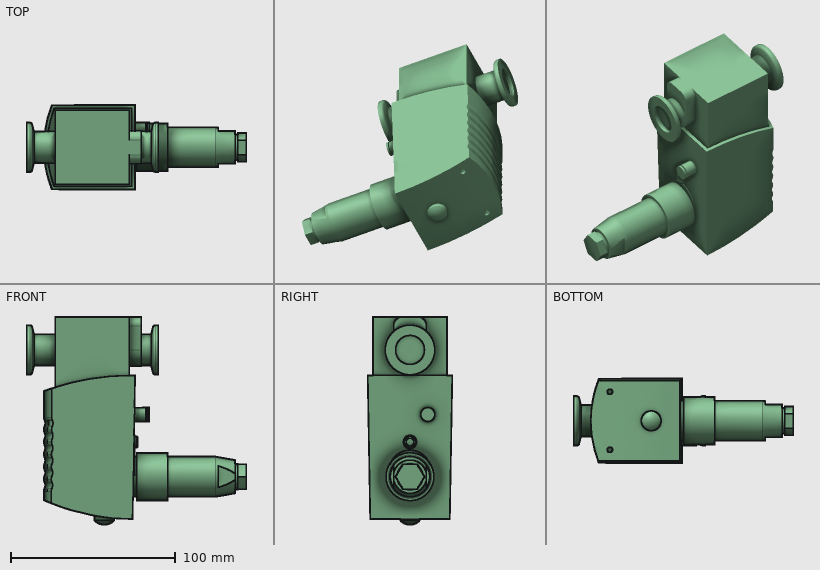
import cadquery as cq
import math


PORT_SPAN = 79.9
FLANGE_RADIUS = 15.0
TUBE_RADIUS = 9.6
BORE_RADIUS = 8.8
BORE_DEPTH = 2.7
FLANGE_DEPTH = 4.5
FLANGE_BACK_ANGLE = 15.0
FLANGE_CORNER_RADIUS = 1.6
BLOCK_WIDTH = 45.0
BLOCK_LEFT = -22.6
BLOCK_TOP = 20.1
BOSS_LENGTH = 7.2
BOSS_RADIUS = 10.0
BOSS_CORNER_RADIUS = 5.5

FRONT_X = -29.6
FRONT_RADIUS = 69.3
DRAFT_ANGLE = 1.0
BACK_TOP_X = 25.8
HALF_WIDTH_TOP = 25.7
RIM_TOP = -15.5
RIM_RADIUS = 153.2
RIM_CREST_X = 23.6
BASE_BOTTOM = -102.5
BASE_RADIUS = 131.9
BASE_LOW_X = 24.2
WALL = 2.0
POCKET_FLOOR = -26.6

GRIP_TOP = -40.8
GRIP_LENGTH = 45.0
WAVE_COUNT = 6
WAVE_DEPTH = 0.8

KNOB_X = 7.0
KNOB_RADIUS = 6.0
KNOB_RIM_Z = -103.4
KNOB_BOTTOM = -106.0
BASE_HOLE_X = -18.0
BASE_HOLE_Y = 17.6
BASE_HOLE_RADIUS = 1.6
BASE_HOLE_TOP = -89.2

BACK_ROOT_X = 20.0
PEG_Y = 10.8
PEG_Z = -39.2
PEG_RADIUS = 4.3
PEG_END_X = 34.4
PEG_NECK_RADIUS = 2.8
PEG_NECK_START_X = 32.4
PEG_NECK_WIDTH = 0.8
SCREW_Z = -55.8
SCREW_WASHER_RADIUS = 4.0
SCREW_WASHER_X = 25.5
SCREW_RADIUS = 3.5
SCREW_SHOULDER_X = 26.9
SCREW_END_RADIUS = 2.4
SCREW_END_X = 27.5
SEAT_Z = -73.3
SEAT_RADIUS = 12.5
SEAT_X = 25.5

PLUG_Z = -76.9
PLUG_RADIUS = 12.3
COLLAR_RADIUS = 14.5
COLLAR_START_X = 26.6
COLLAR_END_X = 45.5
CONE_START_X = 74.5
CONE_END_X = 86.5
CONE_END_RADIUS = 10.1
FLAT_START_X = 76.3
FLAT_HALF_WIDTH = 10.0
PLUG_NECK_RADIUS = 7.9
HEX_START_X = 88.0
HEX_END_X = 93.2
HEX_CORNER_DIAMETER = 17.6

BLOCK_RIGHT = BLOCK_LEFT + BLOCK_WIDTH
DRAFT_SLOPE = math.tan(math.radians(DRAFT_ANGLE))
DRUM_AXIS_X = FRONT_X + FRONT_RADIUS
EDGE_MARGIN = 0.1
CLEAR = 13.3


def turned_along_x(radius, start_x, end_x, y=0.0, z=0.0):
    """Cylinder along X between two X positions."""
    return cq.Workplane("YZ", origin=(start_x, y, z)).circle(radius).extrude(end_x - start_x)


def cone_along_x(start_radius, end_radius, start_x, end_x, z):
    """Truncated cone along X, centred on Y = 0."""
    solid = cq.Solid.makeCone(
        start_radius, end_radius, end_x - start_x, cq.Vector(start_x, 0, z), cq.Vector(1, 0, 0)
    )
    return cq.Workplane(obj=solid)


def box_between(x_range, y_range, z_range):
    """Box given by its lower and upper limits along each axis."""
    size = [high - low for low, high in (x_range, y_range, z_range)]
    corner = (x_range[0], y_range[0], z_range[0])
    return cq.Workplane("XY", origin=corner).box(*size, centered=False)


def left_port():
    """Tube with a clamping flange at the -X end, turned about the port axis."""
    face_x = -PORT_SPAN / 2
    root_x = face_x + FLANGE_DEPTH
    cone_length = (FLANGE_RADIUS - TUBE_RADIUS) * math.tan(math.radians(FLANGE_BACK_ANGLE))
    corner_x = root_x - cone_length
    outline = [
        (face_x, 0),
        (face_x, FLANGE_RADIUS),
        (corner_x, FLANGE_RADIUS),
        (root_x, TUBE_RADIUS),
        (BLOCK_LEFT, TUBE_RADIUS),
        (BLOCK_LEFT, 0),
    ]
    port = cq.Workplane("XZ").polyline(outline).close().revolve(360, (0, 0, 0), (1, 0, 0))
    flange_corner = cq.selectors.BoxSelector(
        (corner_x - EDGE_MARGIN, -FLANGE_RADIUS - EDGE_MARGIN, -FLANGE_RADIUS - EDGE_MARGIN),
        (corner_x + EDGE_MARGIN, FLANGE_RADIUS + EDGE_MARGIN, FLANGE_RADIUS + EDGE_MARGIN),
        boundingbox=True,
    )
    port = port.edges(flange_corner).fillet(FLANGE_CORNER_RADIUS)
    return port.cut(turned_along_x(BORE_RADIUS, face_x, face_x + BORE_DEPTH))


def port_boss():
    """Boss beside the block: round below the port axis, square with rounded corners above it."""
    boss = (
        cq.Workplane("YZ", origin=(BLOCK_RIGHT, 0, 0))
        .moveTo(-BOSS_RADIUS, 0)
        .threePointArc((0, -BOSS_RADIUS), (BOSS_RADIUS, 0))
        .lineTo(BOSS_RADIUS, BLOCK_TOP)
        .lineTo(-BOSS_RADIUS, BLOCK_TOP)
        .close()
        .extrude(BOSS_LENGTH)
    )
    top_corners = boss.faces(">Z").edges("|X")
    return top_corners.fillet(BOSS_CORNER_RADIUS)


def make_valve_body():
    half_width = BLOCK_WIDTH / 2
    block = box_between(
        (BLOCK_LEFT, BLOCK_RIGHT), (-half_width, half_width), (POCKET_FLOOR, BLOCK_TOP)
    )
    right_port = left_port().mirror("YZ")
    return block.union(left_port()).union(right_port).union(port_boss())


def arc_height(radius, distance):
    """Drop of a circular arc at a distance from its crest."""
    return radius - math.sqrt(radius**2 - distance**2)


def side_profile():
    """Housing seen along Y: arched rim and base, drafted back, extended past the bowed front."""
    left_x = FRONT_X - CLEAR
    back_base_x = BACK_TOP_X - (RIM_TOP - BASE_BOTTOM) * DRAFT_SLOPE
    mid_x = FRONT_X / 2

    def rim_point(x):
        return (x, RIM_TOP - arc_height(RIM_RADIUS, x - RIM_CREST_X))

    def base_point(x):
        return (x, BASE_BOTTOM + arc_height(BASE_RADIUS, x - BASE_LOW_X))

    return (
        cq.Workplane("XZ", origin=(0, HALF_WIDTH_TOP + CLEAR, 0))
        .moveTo(*rim_point(left_x))
        .threePointArc(rim_point(mid_x), rim_point(BACK_TOP_X))
        .lineTo(*base_point(back_base_x))
        .threePointArc(base_point(mid_x), base_point(left_x))
        .close()
        .extrude(2 * (HALF_WIDTH_TOP + CLEAR))
    )


def drafted_sides():
    """Wedge along X that narrows downward."""
    half_width_base = HALF_WIDTH_TOP - (RIM_TOP - BASE_BOTTOM) * DRAFT_SLOPE
    outline = [
        (-HALF_WIDTH_TOP, RIM_TOP),
        (HALF_WIDTH_TOP, RIM_TOP),
        (half_width_base, BASE_BOTTOM),
        (-half_width_base, BASE_BOTTOM),
    ]
    length = BACK_TOP_X - FRONT_X + 2 * CLEAR
    return cq.Workplane("YZ", origin=(FRONT_X - CLEAR, 0, 0)).polyline(outline).close().extrude(length)


def wavy_drum():
    """Upright drum whose -X side is the bowed front; the grip waves are turned into its wall."""
    quarter = GRIP_LENGTH / WAVE_COUNT / 4
    half_depth = WAVE_DEPTH / 2
    arc_radius = (quarter**2 + half_depth**2) / (2 * half_depth)
    arc_bulge = arc_height(arc_radius, quarter / 2)
    crest_x = FRONT_X
    middle_x = FRONT_X + half_depth
    trough_x = FRONT_X + WAVE_DEPTH

    profile = (
        cq.Workplane("XZ")
        .moveTo(DRUM_AXIS_X, RIM_TOP + CLEAR)
        .lineTo(crest_x, RIM_TOP + CLEAR)
        .lineTo(crest_x, GRIP_TOP)
    )
    for wave in range(WAVE_COUNT):
        top = GRIP_TOP - 4 * quarter * wave
        profile = (
            profile.threePointArc((crest_x + arc_bulge, top - quarter / 2), (middle_x, top - quarter))
            .threePointArc((trough_x - arc_bulge, top - 1.5 * quarter), (trough_x, top - 2 * quarter))
            .threePointArc((trough_x - arc_bulge, top - 2.5 * quarter), (middle_x, top - 3 * quarter))
            .threePointArc((crest_x + arc_bulge, top - 3.5 * quarter), (crest_x, top - 4 * quarter))
        )
    profile = (
        profile.lineTo(crest_x, BASE_BOTTOM - CLEAR)
        .lineTo(DRUM_AXIS_X, BASE_BOTTOM - CLEAR)
        .close()
    )
    return profile.revolve(360, (DRUM_AXIS_X, 0, 0), (DRUM_AXIS_X, 1, 0))


def pocket():
    """Recess inside the rim: upright walls parallel to the shell, flat floor under the block."""
    half_width = HALF_WIDTH_TOP - WALL
    height = RIM_TOP + CLEAR - POCKET_FLOOR
    recess = box_between(
        (FRONT_X, BACK_TOP_X - WALL),
        (-half_width, half_width),
        (POCKET_FLOOR, POCKET_FLOOR + height),
    )
    bowed_front = (
        cq.Workplane("XY", origin=(DRUM_AXIS_X, 0, POCKET_FLOOR))
        .circle(FRONT_RADIUS - WALL)
        .extrude(height)
    )
    return recess.intersect(bowed_front)


def base_knob():
    """Round knob under the base with a domed end."""
    knob_top = KNOB_RIM_Z + CLEAR
    profile = (
        cq.Workplane("XZ", origin=(KNOB_X, 0, 0))
        .moveTo(0, knob_top)
        .lineTo(KNOB_RADIUS, knob_top)
        .lineTo(KNOB_RADIUS, KNOB_RIM_Z)
    )
    dome_height = KNOB_RIM_Z - KNOB_BOTTOM
    dome_radius = (KNOB_RADIUS**2 + dome_height**2) / (2 * dome_height)
    mid_point = (KNOB_RADIUS / 2, KNOB_BOTTOM + arc_height(dome_radius, KNOB_RADIUS / 2))
    return profile.threePointArc(mid_point, (0, KNOB_BOTTOM)).close().revolve(360, (0, 0, 0), (0, 1, 0))


def base_holes():
    """Two upright blind holes in the base."""
    return (
        cq.Workplane("XY", origin=(0, 0, BASE_BOTTOM))
        .pushPoints([(BASE_HOLE_X, -BASE_HOLE_Y), (BASE_HOLE_X, BASE_HOLE_Y)])
        .circle(BASE_HOLE_RADIUS)
        .extrude(BASE_HOLE_TOP - BASE_BOTTOM)
    )


def back_peg():
    """Peg with a narrow groove near its end."""
    neck_end_x = PEG_NECK_START_X + PEG_NECK_WIDTH
    shank = turned_along_x(PEG_RADIUS, BACK_ROOT_X, PEG_NECK_START_X, PEG_Y, PEG_Z)
    neck = turned_along_x(PEG_NECK_RADIUS, PEG_NECK_START_X, neck_end_x, PEG_Y, PEG_Z)
    head = turned_along_x(PEG_RADIUS, neck_end_x, PEG_END_X, PEG_Y, PEG_Z)
    return shank.union(neck).union(head)


def back_screw():
    """Screw head with a bevelled end, on a thin washer."""
    washer = turned_along_x(SCREW_WASHER_RADIUS, BACK_ROOT_X, SCREW_WASHER_X, z=SCREW_Z)
    head = turned_along_x(SCREW_RADIUS, BACK_ROOT_X, SCREW_SHOULDER_X, z=SCREW_Z)
    bevel = cone_along_x(SCREW_RADIUS, SCREW_END_RADIUS, SCREW_SHOULDER_X, SCREW_END_X, SCREW_Z)
    return washer.union(head).union(bevel)


def plug():
    """Round plug with a collar, a tapered end with two flats, and a hexagon nut."""
    seat = turned_along_x(SEAT_RADIUS, BACK_ROOT_X, SEAT_X, z=SEAT_Z)
    barrel = turned_along_x(PLUG_RADIUS, BACK_ROOT_X, CONE_START_X, z=PLUG_Z)
    collar = turned_along_x(COLLAR_RADIUS, COLLAR_START_X, COLLAR_END_X, z=PLUG_Z)
    cone = cone_along_x(PLUG_RADIUS, CONE_END_RADIUS, CONE_START_X, CONE_END_X, PLUG_Z)
    for side in (-1, 1):
        y_limits = sorted((side * FLAT_HALF_WIDTH, side * (FLAT_HALF_WIDTH + CLEAR)))
        cone = cone.cut(
            box_between((FLAT_START_X, CONE_END_X), y_limits, (PLUG_Z - CLEAR, PLUG_Z + CLEAR))
        )
    neck = turned_along_x(PLUG_NECK_RADIUS, CONE_END_X, HEX_START_X, z=PLUG_Z)
    nut = (
        cq.Workplane("YZ", origin=(HEX_START_X, 0, PLUG_Z))
        .polygon(6, HEX_CORNER_DIAMETER)
        .extrude(HEX_END_X - HEX_START_X)
    )
    return seat.union(barrel).union(collar).union(cone).union(neck).union(nut)


def make_housing():
    shell = side_profile().intersect(drafted_sides()).intersect(wavy_drum())
    shell = shell.cut(base_holes())
    for detail in (base_knob(), back_peg(), back_screw(), plug()):
        shell = shell.union(detail)
    return shell.cut(pocket())


valve_body = make_valve_body()
housing = make_housing()

result = cq.Compound.makeCompound([*valve_body.solids().vals(), *housing.solids().vals()])